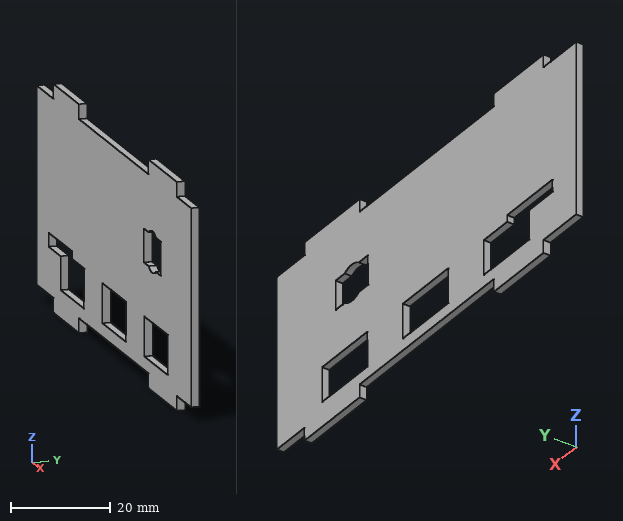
import cadquery as cq

length = 106.5
thickness = 1.8
overall_height = 47.6
tab_depth = 3.1
body_height = overall_height - 2 * tab_depth

tabs = [(11.6, 17.7), (77.0, 19.6)]

window_width = 16.1
window_height = 8.3
window_count = 3
window_pitch = 28.8
first_window_left = 16.7
window_sill = 2.9

slot_left = 8.4
slot_width = window_width
slot_height = 2.9
slot_sill = 9.9

jack_center_from_left = 79.8
jack_center_from_bottom = 25.9
jack_width = 11.5
jack_height = 7.0
jack_diameter = 8.6

left_end = -length / 2
body_bottom = -body_height / 2


def block(left, bottom, width, height):
    """Box of full plate thickness, placed from the lower left corner of the plate body."""
    return cq.Workplane("XY").box(width, thickness, height, centered=(False, True, False)).translate(
        (left_end + left, 0, body_bottom + bottom)
    )


def jack_opening():
    rectangle = block(
        jack_center_from_left - jack_width / 2,
        jack_center_from_bottom - jack_height / 2,
        jack_width,
        jack_height,
    )
    round_hole = (
        cq.Workplane("XZ")
        .center(left_end + jack_center_from_left, body_bottom + jack_center_from_bottom)
        .circle(jack_diameter / 2)
        .extrude(thickness / 2, both=True)
    )
    return rectangle.union(round_hole)


plate = block(0, 0, length, body_height)
for tab_left, tab_width in tabs:
    plate = plate.union(block(tab_left, -tab_depth, tab_width, overall_height))

for index in range(window_count):
    window_left = first_window_left + index * window_pitch
    plate = plate.cut(block(window_left, window_sill, window_width, window_height))
plate = plate.cut(block(slot_left, slot_sill, slot_width, slot_height))
plate = plate.cut(jack_opening())

result = plate